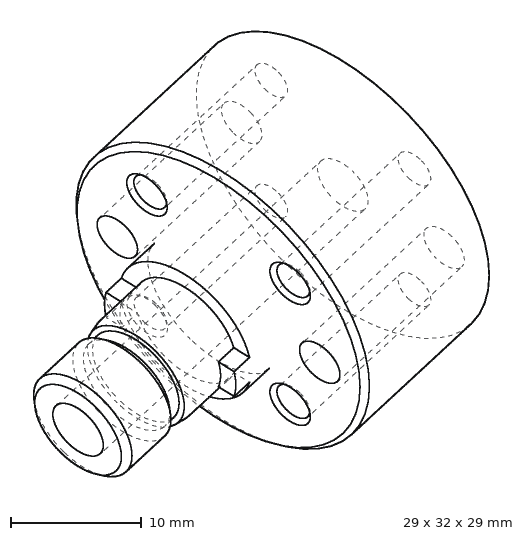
import cadquery as cq
import math

total_length = 32.0
spigot_length = 17.0
flange_diameter = 29.0
flange_chamfer = 0.5

collar_diameter = 13.0
shaft_diameter = 10.0
taper_end_diameter = 9.6
groove_diameter = 8.58
tip_diameter = 9.73
bore_diameter = 5.0

collar_fillet = 1.0
collar_end = 4.0
key_end = 5.85
taper_start = 9.0
taper_end = 10.0
groove_end = 11.15
tip_chamfer = (tip_diameter - groove_diameter) / 2

key_width = 2.9

hole_circle_diameter = 20.0
pin_hole_diameter = 4.0
screw_hole_diameter = 3.23
screw_countersink_diameter = 4.0
pin_hole_angles = (0, 180)
screw_hole_angles = (45, 135, 225, 315)

flange_length = total_length - spigot_length


def turned_body():
    """Revolve the half profile of flange and spigot about the Y axis."""
    flange_radius = flange_diameter / 2
    collar_radius = collar_diameter / 2
    tip_radius = tip_diameter / 2
    groove_radius = groove_diameter / 2
    fillet_offset = collar_fillet * (1 - math.sqrt(0.5))
    return (
        cq.Workplane("XY")
        .moveTo(0, flange_length)
        .lineTo(flange_radius, flange_length)
        .lineTo(flange_radius, flange_chamfer)
        .lineTo(flange_radius - flange_chamfer, 0)
        .lineTo(collar_radius + collar_fillet, 0)
        .threePointArc(
            (collar_radius + fillet_offset, -fillet_offset),
            (collar_radius, -collar_fillet),
        )
        .lineTo(collar_radius, -collar_end)
        .lineTo(shaft_diameter / 2, -collar_end)
        .lineTo(shaft_diameter / 2, -taper_start)
        .lineTo(taper_end_diameter / 2, -taper_end)
        .lineTo(groove_radius, -taper_end)
        .lineTo(groove_radius, -groove_end)
        .lineTo(tip_radius, -groove_end - tip_chamfer)
        .lineTo(tip_radius, -spigot_length + tip_chamfer)
        .lineTo(tip_radius - tip_chamfer, -spigot_length)
        .lineTo(0, -spigot_length)
        .close()
        .revolve(360, (0, 0, 0), (0, 1, 0))
    )


def drive_keys():
    """Two keys ahead of the collar, their outer ends flush with it."""
    bar = cq.Workplane("XZ").rect(collar_diameter, key_width).extrude(key_end)
    collar_envelope = cq.Workplane("XZ").circle(collar_diameter / 2).extrude(key_end)
    return bar.intersect(collar_envelope)


def pattern_points(angles):
    radius = hole_circle_diameter / 2
    return [
        (radius * math.cos(math.radians(angle)), radius * math.sin(math.radians(angle)))
        for angle in angles
    ]


def through_holes(points, diameter):
    return (
        cq.Workplane("XZ", origin=(0, -spigot_length, 0))
        .pushPoints(points)
        .circle(diameter / 2)
        .extrude(-total_length)
    )


def screw_countersinks():
    """45 degree cones at the mouths of the screw holes in the flange face."""
    depth = (screw_countersink_diameter - screw_hole_diameter) / 2
    return (
        cq.Workplane("XZ")
        .pushPoints(pattern_points(screw_hole_angles))
        .circle(screw_countersink_diameter / 2)
        .extrude(-depth, taper=45)
    )


result = (
    turned_body()
    .union(drive_keys())
    .cut(through_holes([(0, 0)], bore_diameter))
    .cut(through_holes(pattern_points(pin_hole_angles), pin_hole_diameter))
    .cut(through_holes(pattern_points(screw_hole_angles), screw_hole_diameter))
    .cut(screw_countersinks())
)